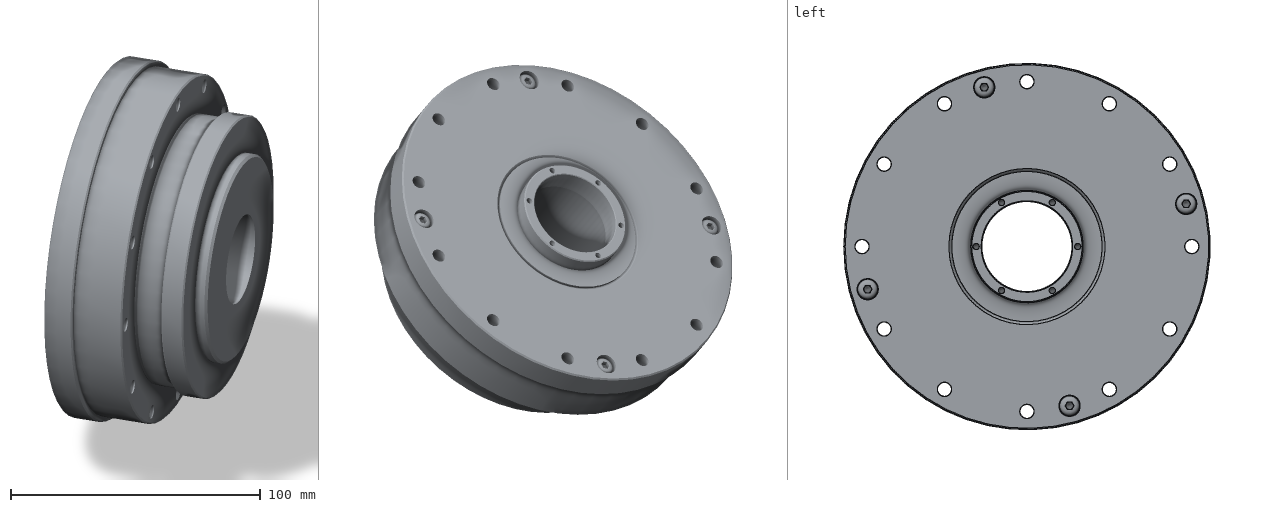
import cadquery as cq
import math

total_length = 65.5
plate_face = 7.0
plate_back = 18.9
body_back = 39.1
neck_face = 40.0
flange_face = 51.1
flange_back = 60.3

hub_diameter = 45.0
plate_diameter = 146.5
body_diameter = 141.8
neck_diameter = 110.0
flange_diameter = 115.0
boss_diameter = 85

hub_chamfer = 0.5
edge_chamfer = 0.6
neck_chamfer = 0.6
boss_root_chamfer = 0.6
boss_chamfer = 1.0

bore_diameter = 36.0
bore_relief_diameter = 36.5
bore_relief_start = 9.7
bore_mouth_break = 0.3

groove_outer_diameter = 62.4
groove_inner_diameter = 60
groove_depth = (groove_outer_diameter - groove_inner_diameter) / 2

hub_hole_count = 6
hub_hole_diameter = 2.5
hub_hole_depth = 5.0
hub_hole_circle_diameter = 40.5

bolt_circle_diameter = 131.8
bolt_hole_count = 12
bolt_hole_diameter = 5.5
screw_count = 4
screw_start_angle = -15
screw_pocket_diameter = 8.5
screw_head_diameter = 8.0
screw_pocket_depth = 5.0
screw_head_gap = 0.9
screw_head_round = 2.0
socket_corner_diameter = 3.5
socket_sides = 6
socket_depth = 2.0

drill_point_half_angle = 59


def ring_points(count, circle_diameter, start_angle):
    """Evenly spaced (y, z) points on a circle about the X axis."""
    radius = circle_diameter / 2
    angles = [math.radians(start_angle + i * 360 / count) for i in range(count)]
    return [(radius * math.cos(a), radius * math.sin(a)) for a in angles]


def cylinder(diameter, start, end, points=((0, 0),)):
    """Cylinders parallel to X between two stations."""
    plane = cq.Workplane("YZ", origin=(start, 0, 0))
    return plane.pushPoints(points).circle(diameter / 2).extrude(end - start)


def cone(mouth_diameter, tip_diameter, start, depth, points=((0, 0),)):
    """Cones that narrow in the +X direction."""
    single = cq.Solid.makeCone(mouth_diameter / 2, tip_diameter / 2, depth)
    plane = cq.Workplane("YZ", origin=(start, 0, 0))
    return plane.pushPoints(points).eachpoint(lambda place: single.moved(place), True)


def drill_point(diameter, start, points):
    """Conical hole bottoms."""
    return cone(diameter, 0, start, diameter / 2 / math.tan(math.radians(drill_point_half_angle)), points)


def turned_section(diameter, start, end, face_chamfer=0, back_chamfer=0):
    """One cylindrical step with optional chamfers on its -X and +X edges."""
    section = cylinder(diameter, start, end)
    if face_chamfer:
        section = section.faces("<X").chamfer(face_chamfer)
    if back_chamfer:
        section = section.faces(">X").chamfer(back_chamfer)
    return section


def housing():
    """All outside steps joined on the X axis."""
    hub = turned_section(hub_diameter, 0, plate_back, hub_chamfer)
    plate = turned_section(plate_diameter, plate_face, plate_back, edge_chamfer, edge_chamfer)
    body = turned_section(body_diameter, plate_back, body_back, 0, edge_chamfer)
    collar = turned_section(neck_diameter, body_back, neck_face, 0, neck_chamfer)
    neck = turned_section(neck_diameter, neck_face, flange_face, neck_chamfer)
    flange = turned_section(flange_diameter, flange_face, flange_back, edge_chamfer, edge_chamfer)
    boss = turned_section(boss_diameter, flange_back, total_length, boss_root_chamfer, boss_chamfer)
    return hub.union(plate).union(body).union(collar).union(neck).union(flange).union(boss)


def hub_groove():
    taper = cone(groove_outer_diameter, groove_inner_diameter, plate_face, groove_depth)
    return taper.cut(cylinder(groove_inner_diameter, plate_face, plate_face + groove_depth))


def bore():
    """Through bore with a broken front edge and a slightly wider rear stretch."""
    mouth_diameter = bore_diameter + 2 * bore_mouth_break
    straight = cylinder(bore_diameter, 0, total_length)
    mouth = cone(mouth_diameter, bore_diameter, 0, bore_mouth_break)
    relief = cylinder(bore_relief_diameter, bore_relief_start, total_length)
    return straight.union(mouth).union(relief)


def hub_holes():
    points = ring_points(hub_hole_count, hub_hole_circle_diameter, 0)
    drilled = cylinder(hub_hole_diameter, 0, hub_hole_depth, points)
    return drilled.union(drill_point(hub_hole_diameter, hub_hole_depth, points))


def screw_heads(points):
    """Rounded screw heads with hexagon sockets, seated in the pockets."""
    head_top = plate_face + screw_head_gap
    pocket_floor = plate_face + screw_pocket_depth
    heads = cylinder(screw_head_diameter, head_top, pocket_floor, points)
    heads = heads.faces("<X").edges().fillet(screw_head_round)
    socket_plane = cq.Workplane("YZ", origin=(head_top, 0, 0)).pushPoints(points)
    sockets = socket_plane.polygon(socket_sides, socket_corner_diameter).extrude(socket_depth)
    socket_flat_width = socket_corner_diameter * math.cos(math.pi / socket_sides)
    tips = drill_point(socket_flat_width, head_top + socket_depth, points)
    return heads.cut(sockets).cut(tips)


bolt_points = ring_points(bolt_hole_count, bolt_circle_diameter, 0)
screw_points = ring_points(screw_count, bolt_circle_diameter, screw_start_angle)

screw_pockets = cylinder(
    screw_pocket_diameter, plate_face, plate_face + screw_pocket_depth, screw_points
)

result = housing().cut(hub_groove())
result = result.cut(bore()).cut(hub_holes())
result = result.cut(cylinder(bolt_hole_diameter, plate_face, body_back, bolt_points))
result = result.cut(screw_pockets).union(screw_heads(screw_points))